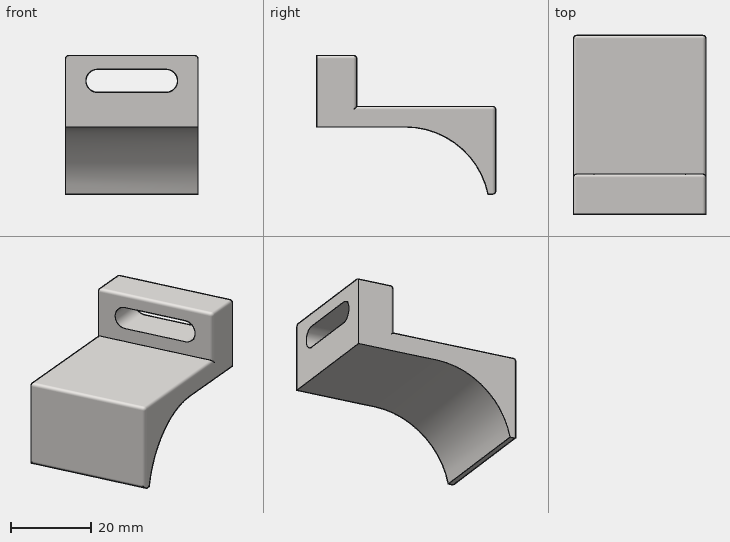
import cadquery as cq
import math

width = 33.0
depth = 44.55
height = 34.55

lug_thickness = 10.05
plate_top = 21.9
plate_bottom = 16.7
arc_start = 22.05
foot_thickness = 1.95
edge_radius = 0.85

slot_length = 22.75
slot_height = 5.65
slot_center_z = 28.2

foot_inner = depth - foot_thickness
arc_run = foot_inner - arc_start
arc_radius = (arc_run**2 + plate_bottom**2) / (2 * plate_bottom)
half_angle = math.atan2(plate_bottom, arc_run)
arc_middle = (
    arc_start + arc_radius * math.sin(half_angle),
    plate_bottom - arc_radius * (1 - math.cos(half_angle)),
)


def make_body():
    """Extrude the stepped side profile symmetrically across the width."""
    return (
        cq.Workplane("YZ")
        .moveTo(0, plate_bottom)
        .lineTo(arc_start, plate_bottom)
        .threePointArc(arc_middle, (foot_inner, 0))
        .lineTo(depth, 0)
        .lineTo(depth, plate_top)
        .lineTo(lug_thickness, plate_top)
        .lineTo(lug_thickness, height)
        .lineTo(0, height)
        .close()
        .extrude(width / 2, both=True)
    )


def round_outer_edges(body):
    """Round the end face, the upper side edges and the lug, leaving the inner corner sharp."""
    end_edges = body.faces(">Y").edges()
    lug_ridge = body.edges(cq.selectors.NearestToPointSelector((0, lug_thickness, height)))
    edges = end_edges.add(lug_ridge)
    for side in (-width / 2, width / 2):
        side_edge_middles = (
            (side, (lug_thickness + depth) / 2, plate_top),
            (side, lug_thickness, (plate_top + height) / 2),
            (side, lug_thickness / 2, height),
        )
        for middle in side_edge_middles:
            edges = edges.add(body.edges(cq.selectors.NearestToPointSelector(middle)))
    return body.newObject(edges.vals()).fillet(edge_radius)


def make_slot():
    """Make the rounded slot cutter, running through the lug along Y."""
    return (
        cq.Workplane("XZ")
        .center(0, slot_center_z)
        .slot2D(slot_length, slot_height)
        .extrude(-lug_thickness)
    )


result = round_outer_edges(make_body()).cut(make_slot())